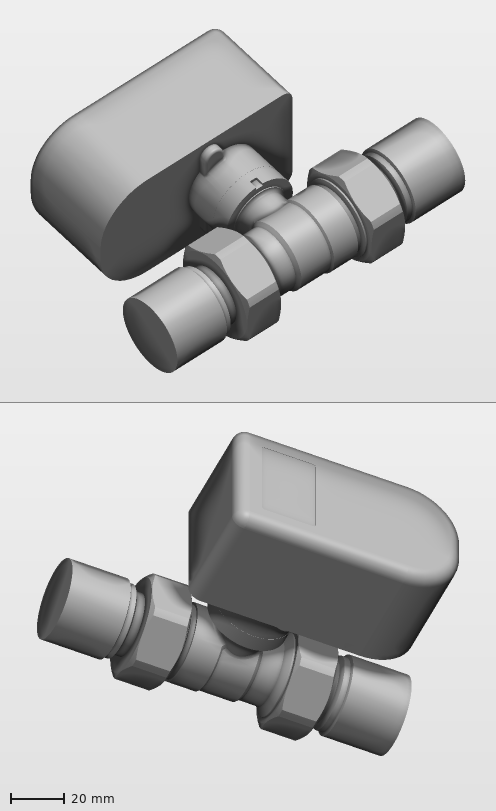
import cadquery as cq
import math


overall_width = 106.3

run_half_length = 70.0
tail_diameter = 32.3
tail_radius = tail_diameter / 2
tail_inner_y = 45.9
shoulder_radius = 14.8
shoulder_outer_y = 45.4
shoulder_inner_y = 43.0
tail_neck_diameter = 25.3
tail_neck_radius = tail_neck_diameter / 2
tail_neck_y = 41.9

nut_across_flats = 38.2
nut_half_flats = nut_across_flats / 2
nut_corner_radius = 21.1
nut_face_radius = 18.9
nut_chamfer_angle = 30.0
nut_sides = 6
nut_outer_y = 38.5
nut_inner_y = 21.8

nut_collar_radius = 16.8
nut_collar_y = 21.1
thread_y = 20.3
wide_radius = 15.8
wide_end_y = 18.2
wide_start_y = 6.6
middle_radius = 15.0
middle_top_y = 5.7
middle_bottom_y = -8.7
narrow_radius = 13.6
narrow_top_y = -10.4
narrow_bottom_y = -18.6

branch_radius = 10.8
branch_fillet = 1.5
flange_radius = 12.5
flange_thickness = 0.4
flange_fillet = 1.3

housing_left_x = nut_half_flats - overall_width
housing_right_x = -42.5
housing_top_y = 34.2
housing_bottom_y = -59.1
housing_half_height = 26.5
housing_edge_radius = 5.0
housing_end_radius = 22.7

label_length = 22.3
label_width = 35.4
label_centre_y = 13.0
label_corner_radius = 1.1
label_depth = 0.1

collar_radius = 16.2
collar_end_x = -20.5
groove_centre_x = -27.5
groove_width = 1.3
groove_depth = 0.07
notch_length = 3.8
notch_width = 3.2
notch_depth = 1.4

lug_width = 9.2
lug_centre_y = -6.3
lug_tip_z = 23.7
lug_height = 3.5
lug_edge_fillet = 1.1
lug_root_fillet = 1.0


def make_pipe_run():
    """Turned profile of the whole run, without the nuts."""
    outline = [
        (0, -run_half_length),
        (tail_radius, -run_half_length),
        (tail_radius, -tail_inner_y),
        (shoulder_radius, -shoulder_outer_y),
        (shoulder_radius, -shoulder_inner_y),
        (tail_neck_radius, -tail_neck_y),
        (tail_neck_radius, -nut_inner_y),
        (nut_collar_radius, -nut_inner_y),
        (nut_collar_radius, -nut_collar_y),
        (narrow_radius, narrow_bottom_y),
        (narrow_radius, narrow_top_y),
        (middle_radius, middle_bottom_y),
        (middle_radius, middle_top_y),
        (wide_radius, wide_start_y),
        (wide_radius, wide_end_y),
        (shoulder_radius, wide_end_y),
        (shoulder_radius, thread_y),
        (nut_collar_radius, nut_collar_y),
        (nut_collar_radius, nut_inner_y),
        (tail_neck_radius, nut_inner_y),
        (tail_neck_radius, tail_neck_y),
        (shoulder_radius, shoulder_inner_y),
        (shoulder_radius, shoulder_outer_y),
        (tail_radius, tail_inner_y),
        (tail_radius, run_half_length),
        (0, run_half_length),
    ]
    return cq.Workplane("XY").polyline(outline).close().revolve(360, (0, 0, 0), (0, 1, 0))


def make_branch():
    """Round branch with a thin flange, filleted at its root, against the actuator collar."""
    flange_face_x = collar_end_x + flange_thickness
    bend = flange_fillet * (1 - math.sqrt(0.5))
    return (
        cq.Workplane("XY")
        .moveTo(0, 0)
        .lineTo(0, branch_radius)
        .lineTo(flange_face_x + flange_fillet, branch_radius)
        .threePointArc(
            (flange_face_x + bend, branch_radius + bend),
            (flange_face_x, branch_radius + flange_fillet),
        )
        .lineTo(flange_face_x, flange_radius)
        .lineTo(collar_end_x, flange_radius)
        .lineTo(collar_end_x, 0)
        .close()
        .revolve(360, (0, 0, 0), (1, 0, 0))
    )


def make_nut(start_y):
    """Hexagon with flats facing +X and -X, its corners turned down and both ends chamfered."""
    length = nut_outer_y - nut_inner_y
    end_y = start_y + length
    chamfer = (nut_corner_radius - nut_face_radius) * math.tan(math.radians(nut_chamfer_angle))
    across_corners = nut_across_flats / math.cos(math.pi / nut_sides)
    hexagon = (
        cq.Workplane("XZ", origin=(0, start_y, 0))
        .transformed(rotate=(0, 0, 180 / nut_sides))
        .polygon(nut_sides, across_corners)
        .extrude(-length)
    )
    turned_outline = [
        (0, start_y),
        (nut_face_radius, start_y),
        (nut_corner_radius, start_y + chamfer),
        (nut_corner_radius, end_y - chamfer),
        (nut_face_radius, end_y),
        (0, end_y),
    ]
    turned = cq.Workplane("XY").polyline(turned_outline).close().revolve(360, (0, 0, 0), (0, 1, 0))
    return hexagon.intersect(turned)


def make_valve():
    casting = make_pipe_run().union(make_branch())
    margin = 0.1
    reach = branch_radius + margin
    flange_end_x = collar_end_x + flange_thickness + flange_fillet
    junction = cq.selectors.BoxSelector(
        (flange_end_x + margin, -reach, -reach),
        (-margin, reach, reach),
        boundingbox=True,
    )
    casting = casting.edges(junction).fillet(branch_fillet)
    casting = casting.newObject([casting.val().fix()])
    for start_y in (nut_inner_y, -nut_outer_y):
        casting = casting.union(make_nut(start_y))
    return casting


def make_housing():
    """Box with one half-rounded end, softened at the outer face and the square end."""
    depth = housing_right_x - housing_left_x
    height = 2 * housing_half_height
    length = housing_top_y - housing_bottom_y
    centre_y = (housing_top_y + housing_bottom_y) / 2
    body = (
        cq.Workplane("YZ", origin=(housing_left_x, centre_y, 0))
        .rect(length, height)
        .extrude(depth)
    )
    body = body.edges("|X and <Y").fillet(housing_end_radius)
    body = body.edges("|X and >Y").fillet(housing_edge_radius)
    body = body.faces("<X").edges().fillet(housing_edge_radius)
    label = (
        cq.Workplane("YZ", origin=(housing_left_x, label_centre_y, 0))
        .rect(label_length, label_width)
        .extrude(label_depth)
        .edges("|X")
        .fillet(label_corner_radius)
    )
    return body.cut(label)


def make_collar():
    """Plain collar on the branch axis."""
    return (
        cq.Workplane("YZ", origin=(housing_right_x, 0, 0))
        .circle(collar_radius)
        .extrude(collar_end_x - housing_right_x)
    )


def make_collar_groove():
    """Shallow ring cut around the collar."""
    return (
        cq.Workplane("YZ", origin=(groove_centre_x - groove_width / 2, 0, 0))
        .circle(collar_radius + groove_depth)
        .circle(collar_radius - groove_depth)
        .extrude(groove_width)
    )


def make_collar_notch():
    """Rectangular cut at the top of the collar's free rim."""
    return cq.Workplane("XY").box(notch_length, notch_width, 2 * notch_depth).translate(
        (collar_end_x - notch_length / 2, 0, collar_radius)
    )


def make_lug(side):
    """Lug running out from the collar to a half-round tip; side is +1 (up) or -1 (down)."""
    half_width = lug_width / 2
    round_centre_z = lug_tip_z - half_width
    return (
        cq.Workplane("YZ", origin=(housing_right_x, lug_centre_y, 0))
        .moveTo(-half_width, 0)
        .lineTo(half_width, 0)
        .lineTo(half_width, side * round_centre_z)
        .threePointArc((0, side * lug_tip_z), (-half_width, side * round_centre_z))
        .close()
        .extrude(lug_height)
        .faces(">X")
        .edges("not(|Y)")
        .fillet(lug_edge_fillet)
    )


def fillet_lug_roots(mount):
    """Round the inner corners where the lugs rise from the collar."""
    margin = 0.1
    lug_end_x = housing_right_x + lug_height
    for low_z, high_z in ((0, collar_radius), (-collar_radius, 0)):
        roots = cq.selectors.BoxSelector(
            (housing_right_x - margin, -collar_radius, low_z - margin),
            (lug_end_x + margin, 0, high_z + margin),
            boundingbox=True,
        )
        mount = mount.edges(roots).fillet(lug_root_fillet)
    return mount


def make_actuator():
    mount = make_collar()
    for side in (1, -1):
        mount = mount.union(make_lug(side))
    mount = fillet_lug_roots(mount)
    mount = mount.cut(make_collar_groove()).cut(make_collar_notch())
    return make_housing().union(mount)


valve = make_valve()
actuator = make_actuator()
result = cq.Compound.makeCompound([valve.solids().val(), actuator.solids().val()])